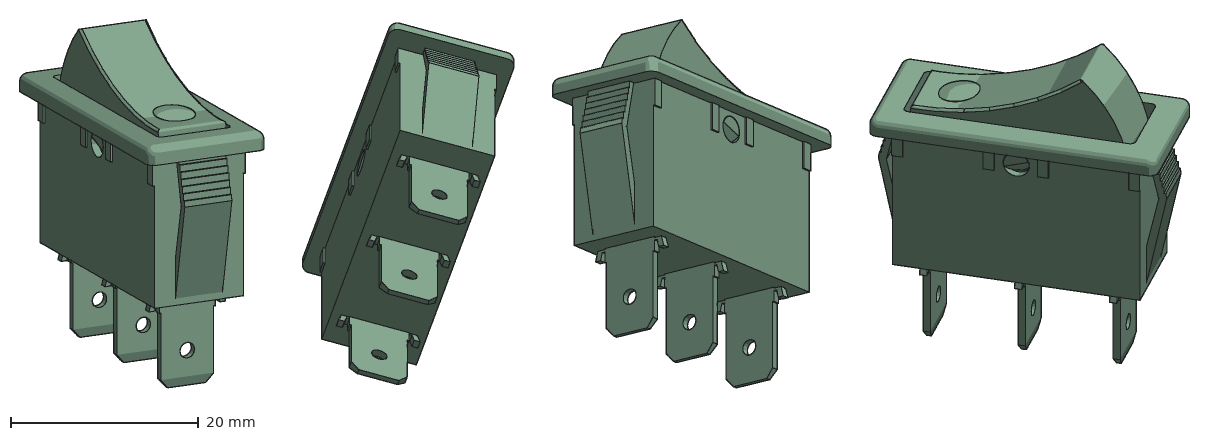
import cadquery as cq
import math


BEZEL_LENGTH = 32.0
BEZEL_WIDTH = 14.0
BEZEL_HEIGHT = 2.02
BEZEL_ROUND = 1.0

CASE_LENGTH = 27.5
CASE_WIDTH = 10.6
CASE_DEPTH = 16.65
RIB_WIDTH = 1.2
RIB_HEIGHT = 3.0
RIB_THICKNESS = 0.2
INNER_RIB_X = 3.0

CAVITY_LENGTH = 25.68
CAVITY_WIDTH = 8.73
CAVITY_FLOOR_Z = -11.0
CAVITY_CORNER = 0.6

PIVOT_Z = -2.0
PIVOT_HOLE_DIAMETER = 2.9
PIN_DIAMETER = 2.8

CLIP_WIDTH = 5.6
CLIP_TOP_OUTER_X = 14.6
CLIP_TOP_INNER_X = 13.9
CLIP_TIP_X = BEZEL_LENGTH / 2
CLIP_TIP_Z = -5.1
CLIP_BEND_X = 15.1
CLIP_BEND_Z = -5.25
CLIP_ROOT_OUTER_Z = -15.9
CLIP_ROOT_INNER_Z = -11.35
STEP_COUNT = 6
STEP_HEIGHT = 0.75
STEP_DEPTH = 0.2

TERMINAL_PITCH = 10.55
TERMINAL_THICKNESS = 0.8
TERMINAL_END_Z = -26.67
BLADE_WIDTH = 6.28
SHOULDER_WIDTH = 6.67
SHOULDER_Z = -CASE_DEPTH - 1.6
TIP_LENGTH = 1.0
TIP_INSET = 0.9
TIP_THICKNESS = 0.53
TERMINAL_HOLE_DIAMETER = 1.7
TERMINAL_HOLE_Z = -22.75
BARB_TOP_Z = -CASE_DEPTH - 0.1
BARB_NECK_Z = BARB_TOP_Z - 0.3
BARB_END_Z = BARB_TOP_Z - 1.15
BARB_OUTER_Y = 4.25
BARB_THICKNESS = 0.67
BARB_FLARE = 0.32

ROCKER_TILT = 18.5
ROCKER_WIDTH = 8.05
ROCKER_CORNER_HEIGHT = 8.12
TOP_SAG = 1.75
END_RADIUS = 16.25
END_CENTER_X = 4.1
ROCKER_BOTTOM = -5.15
TOP_EDGE_ROUND = 0.3

LENS_DIAMETER = 4.5
LENS_HEIGHT = 0.53
LENS_RIM = 0.07
LENS_ROOT = 0.35
LENS_X = 5.9


def box(length, width, bottom_z, top_z):
    """Block centred on X and Y between two heights."""
    return cq.Workplane("XY").workplane(offset=bottom_z).rect(length, width).extrude(top_z - bottom_z)


def make_bezel():
    bezel = box(BEZEL_LENGTH, BEZEL_WIDTH, 0, BEZEL_HEIGHT)
    return bezel.edges("|Z or >Z").fillet(BEZEL_ROUND)


def make_ribs():
    """Locating ribs on both long sides of the case, just below the bezel."""
    end_rib_x = (CASE_LENGTH - RIB_WIDTH) / 2
    rib_places = [(x, 0) for x in (-end_rib_x, -INNER_RIB_X, INNER_RIB_X, end_rib_x)]
    rib_span = CASE_WIDTH + 2 * RIB_THICKNESS
    return cq.Workplane("XY").pushPoints(rib_places).rect(RIB_WIDTH, rib_span).extrude(-RIB_HEIGHT)


def make_clip():
    """Bent snap clip on the +X end, with stepped gripping edges above the tip."""
    steps = []
    for i in range(STEP_COUNT):
        step_x = CLIP_TOP_OUTER_X + i * STEP_DEPTH
        steps += [(step_x, -i * STEP_HEIGHT), (step_x, -(i + 1) * STEP_HEIGHT)]
    last_ledge = (CLIP_TOP_OUTER_X + STEP_COUNT * STEP_DEPTH, -STEP_COUNT * STEP_HEIGHT)
    wall_x = CASE_LENGTH / 2
    outline = steps + [
        last_ledge,
        (CLIP_TIP_X, CLIP_TIP_Z),
        (wall_x, CLIP_ROOT_OUTER_Z),
        (wall_x, CLIP_ROOT_INNER_Z),
        (CLIP_BEND_X, CLIP_BEND_Z),
        (CLIP_TOP_INNER_X, 0),
    ]
    return cq.Workplane("XZ").polyline(outline).close().extrude(CLIP_WIDTH / 2, both=True)


def make_terminal():
    """Blade terminal centred on X = 0, with a tapered tip, a hole and two splayed barbs."""
    half_blade = BLADE_WIDTH / 2
    half_shoulder = SHOULDER_WIDTH / 2
    tip_start_z = TERMINAL_END_Z + TIP_LENGTH
    barb_slope = BARB_FLARE / (BARB_TOP_Z - BARB_END_Z)
    barb_inner_y = BARB_OUTER_Y - BARB_THICKNESS
    half_outline = [
        (half_shoulder, -CASE_DEPTH),
        (half_shoulder, BARB_TOP_Z),
        (BARB_OUTER_Y, BARB_TOP_Z),
        (BARB_OUTER_Y + BARB_FLARE, BARB_END_Z),
        (barb_inner_y + BARB_FLARE, BARB_END_Z),
        (barb_inner_y + barb_slope * (BARB_TOP_Z - BARB_NECK_Z), BARB_NECK_Z),
        (half_shoulder, BARB_NECK_Z),
        (half_shoulder, SHOULDER_Z),
        (half_blade, SHOULDER_Z),
        (half_blade, tip_start_z),
        (half_blade - TIP_INSET, TERMINAL_END_Z),
    ]
    other_half = [(-y, z) for y, z in reversed(half_outline)]
    blade = cq.Workplane("YZ").polyline(half_outline + other_half).close()
    blade = blade.extrude(TERMINAL_THICKNESS / 2, both=True)

    edge_outline = [
        (-TERMINAL_THICKNESS / 2, -CASE_DEPTH),
        (-TERMINAL_THICKNESS / 2, tip_start_z),
        (-TIP_THICKNESS / 2, TERMINAL_END_Z),
        (TIP_THICKNESS / 2, TERMINAL_END_Z),
        (TERMINAL_THICKNESS / 2, tip_start_z),
        (TERMINAL_THICKNESS / 2, -CASE_DEPTH),
    ]
    edge_envelope = cq.Workplane("XZ").polyline(edge_outline).close().extrude(CASE_WIDTH / 2, both=True)

    hole = cq.Workplane("YZ").center(0, TERMINAL_HOLE_Z).circle(TERMINAL_HOLE_DIAMETER / 2)
    return blade.intersect(edge_envelope).cut(hole.extrude(TERMINAL_THICKNESS, both=True))


def make_housing():
    housing = make_bezel().union(box(CASE_LENGTH, CASE_WIDTH, -CASE_DEPTH, 0)).union(make_ribs())

    clip = make_clip()
    housing = housing.union(clip).union(clip.mirror("YZ"))

    terminal = make_terminal()
    for i in (-1, 0, 1):
        housing = housing.union(terminal.translate((i * TERMINAL_PITCH, 0, 0)))

    cavity = box(CAVITY_LENGTH, CAVITY_WIDTH, CAVITY_FLOOR_Z, BEZEL_HEIGHT).edges("|Z").fillet(CAVITY_CORNER)
    pivot_hole = cq.Workplane("XZ").center(0, PIVOT_Z).circle(PIVOT_HOLE_DIAMETER / 2)
    return housing.cut(cavity).cut(pivot_hole.extrude(CASE_WIDTH, both=True))


def end_arc_point(height, side):
    """Point at a given height on the round end of the rocker; side is -1 or 1."""
    reach = math.sqrt(END_RADIUS**2 - height**2)
    return (side * (reach - END_CENTER_X), height)


def make_rocker_block():
    """Block with a hollowed top and round ends, rounded off around the top face."""
    top_height = ROCKER_CORNER_HEIGHT
    outline = (
        cq.Workplane("XZ")
        .moveTo(*end_arc_point(ROCKER_BOTTOM, -1))
        .lineTo(*end_arc_point(ROCKER_BOTTOM, 1))
        .threePointArc(end_arc_point(0, 1), end_arc_point(top_height, 1))
        .threePointArc((0, top_height - TOP_SAG), end_arc_point(top_height, -1))
        .threePointArc(end_arc_point(0, -1), end_arc_point(ROCKER_BOTTOM, -1))
        .close()
    )
    block = outline.extrude(ROCKER_WIDTH / 2, both=True)
    return block.faces(">Z").edges().fillet(TOP_EDGE_ROUND)


def make_lens():
    """Round lens with a domed face, rising from the hollow top face."""
    half_top = end_arc_point(ROCKER_CORNER_HEIGHT, 1)[0]
    top_radius = (half_top**2 + TOP_SAG**2) / (2 * TOP_SAG)
    top_low_z = ROCKER_CORNER_HEIGHT - TOP_SAG
    dome_rise = LENS_HEIGHT - LENS_RIM
    dome_radius = ((LENS_DIAMETER / 2) ** 2 + dome_rise**2) / (2 * dome_rise)

    lens_angle = math.asin(LENS_X / top_radius)
    center_distance = top_radius - LENS_HEIGHT + dome_radius
    dome_x = center_distance * math.sin(lens_angle)
    dome_z = top_low_z + top_radius - center_distance * math.cos(lens_angle)
    dome = cq.Workplane("XY").sphere(dome_radius).translate((dome_x, 0, dome_z))

    plug = cq.Workplane("XY").workplane(offset=top_low_z - LENS_ROOT).center(LENS_X, 0)
    return plug.circle(LENS_DIAMETER / 2).extrude(LENS_ROOT + TOP_SAG).intersect(dome)


def make_pins():
    """Pivot pins whose lower halves slope back to the rocker's sides, so they snap into place."""
    half_span = CASE_WIDTH / 2
    radius = PIN_DIAMETER / 2
    pins = cq.Workplane("XZ").circle(radius).extrude(half_span, both=True)
    sloped_ends = [
        (-half_span, radius),
        (-half_span, 0),
        (-ROCKER_WIDTH / 2, -radius),
        (ROCKER_WIDTH / 2, -radius),
        (half_span, 0),
        (half_span, radius),
    ]
    return pins.intersect(cq.Workplane("YZ").polyline(sloped_ends).close().extrude(radius, both=True))


def make_rocker():
    rocker = make_rocker_block().union(make_lens()).union(make_pins())
    return rocker.rotate((0, 0, 0), (0, 1, 0), ROCKER_TILT).translate((0, 0, PIVOT_Z))


housing = make_housing()
rocker = make_rocker()

result = cq.Compound.makeCompound([housing.val(), rocker.val()])